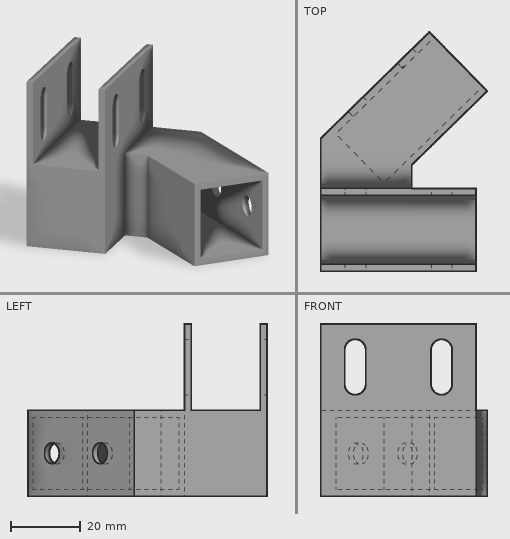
import cadquery as cq
import math

overall_x = 48.3
overall_y = 69.35
overall_z = 50.0

wall = 2.0
plate_length = 45.0
base_depth = 24.0
base_height = overall_z / 2
neck_width = 26.4

slot_width = 6.0
slot_height = 16.0
slot_end_margin = 10.0

arm_angle = 44.4
arm_width = 24.0
socket_depth = 40.0
pin_diameter = 6.0
pin_end_margin = 9.9
pin_spacing = 20.0

arm_sin = math.sin(math.radians(arm_angle))
arm_cos = math.cos(math.radians(arm_angle))
arm_slope = arm_sin / arm_cos
arm_back_x = overall_x - arm_width * arm_sin
arm_front_y = overall_y - arm_width * arm_cos


def make_base():
    """Rectangular base carrying two upright plates."""
    base = cq.Workplane("XY").box(plate_length, base_depth, base_height, centered=False)
    for plate_y in (0, base_depth - wall):
        plate = cq.Workplane("XY").box(plate_length, wall, overall_z, centered=False)
        base = base.union(plate.translate((0, plate_y, 0)))
    return base


def make_arm():
    """Neck behind the base that bends into the angled arm."""
    outer_bend_y = overall_y - arm_back_x * arm_slope
    inner_bend_y = arm_front_y - (overall_x - neck_width) * arm_slope
    outline = [
        (0, base_depth - wall),
        (neck_width, base_depth - wall),
        (neck_width, inner_bend_y),
        (overall_x, arm_front_y),
        (arm_back_x, overall_y),
        (0, outer_bend_y),
    ]
    return cq.Workplane("XY").polyline(outline).close().extrude(base_height)


def make_slots():
    """Pair of upright slots passing through both plates."""
    slot_z = (base_height + overall_z) / 2
    slot_places = [(slot_end_margin, slot_z), (plate_length - slot_end_margin, slot_z)]
    return (
        cq.Workplane("XZ")
        .pushPoints(slot_places)
        .slot2D(slot_height, slot_width, 90)
        .extrude(-base_depth)
    )


def make_socket():
    """Rectangular socket open at the arm end, with pin holes in its outer wall."""
    cavity = cq.Workplane("XY").box(
        socket_depth, arm_width - 2 * wall, base_height - 2 * wall, centered=False
    ).translate((-socket_depth, wall - arm_width, wall))
    pin_places = [(-pin_end_margin - i * pin_spacing, base_height / 2) for i in range(2)]
    pins = (
        cq.Workplane("XZ")
        .pushPoints(pin_places)
        .circle(pin_diameter / 2)
        .extrude(2 * wall)
    )
    cutter = cavity.union(pins)
    return cutter.rotate((0, 0, 0), (0, 0, 1), arm_angle).translate((arm_back_x, overall_y, 0))


result = make_base().union(make_arm()).cut(make_slots()).cut(make_socket())